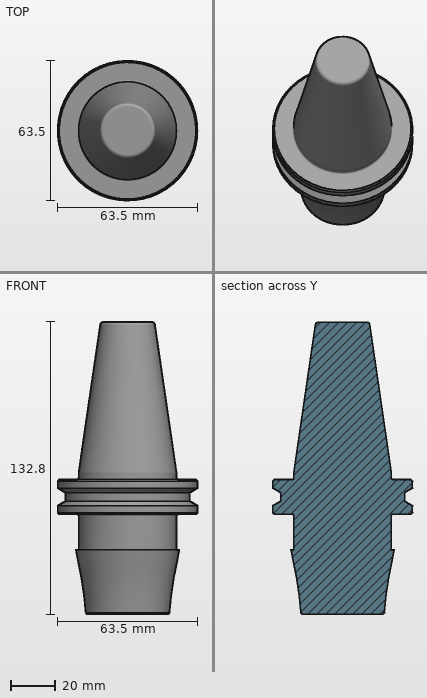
import cadquery as cq
import math


gauge_radius = 44.45 / 2
taper_length = 68.25
taper_ratio = 7 / 24
shank_end_radius = gauge_radius - taper_length * taper_ratio / 2
shank_end_fillet = 1.5

flange_radius = 63.5 / 2
flange_top_z = -3.2
flange_bottom_z = -19.1
flange_chamfer = 0.75
groove_floor_radius = 28.25
groove_floor_width = 3.8
groove_centre_z = -11.15
groove_wall_angle = 60
corner_radius = 0.75

body_radius = gauge_radius
nose_top_z = -35.2
nose_top_radius = 23.5
nose_band_height = 4.8
nose_band_bottom_radius = 22.6
nose_length = 29.3
nose_end_radius = 19.05
nose_end_chamfer = 0.75
nose_hollow = 0.45


def half_profile():
    """Half section of the holder in the XZ plane, from the top down."""
    groove_wall_height = (flange_radius - groove_floor_radius) * math.tan(
        math.radians(groove_wall_angle / 2)
    )
    floor_top_z = groove_centre_z + groove_floor_width / 2
    floor_bottom_z = groove_centre_z - groove_floor_width / 2

    nose_band_bottom_z = nose_top_z - nose_band_height
    nose_bottom_z = nose_top_z - nose_length
    nose_curve_end_z = nose_bottom_z + nose_end_chamfer
    nose_curve_middle = (
        (nose_band_bottom_radius + nose_end_radius) / 2 - nose_hollow,
        (nose_band_bottom_z + nose_curve_end_z) / 2,
    )

    corner_middle = corner_radius * (1 - math.sqrt(0.5))

    return (
        cq.Workplane("XZ")
        .moveTo(0, taper_length)
        .lineTo(shank_end_radius, taper_length)
        .lineTo(gauge_radius, 0)
        .lineTo(gauge_radius, flange_top_z + corner_radius)
        .threePointArc(
            (gauge_radius + corner_middle, flange_top_z + corner_middle),
            (gauge_radius + corner_radius, flange_top_z),
        )
        .lineTo(flange_radius - flange_chamfer, flange_top_z)
        .lineTo(flange_radius, flange_top_z - flange_chamfer)
        .lineTo(flange_radius, floor_top_z + groove_wall_height)
        .lineTo(groove_floor_radius, floor_top_z)
        .lineTo(groove_floor_radius, floor_bottom_z)
        .lineTo(flange_radius, floor_bottom_z - groove_wall_height)
        .lineTo(flange_radius, flange_bottom_z + flange_chamfer)
        .lineTo(flange_radius - flange_chamfer, flange_bottom_z)
        .lineTo(body_radius + corner_radius, flange_bottom_z)
        .threePointArc(
            (body_radius + corner_middle, flange_bottom_z - corner_middle),
            (body_radius, flange_bottom_z - corner_radius),
        )
        .lineTo(body_radius, nose_top_z)
        .lineTo(nose_top_radius, nose_top_z)
        .lineTo(nose_band_bottom_radius, nose_band_bottom_z)
        .threePointArc(nose_curve_middle, (nose_end_radius, nose_curve_end_z))
        .lineTo(nose_end_radius - nose_end_chamfer, nose_bottom_z)
        .lineTo(0, nose_bottom_z)
        .close()
    )


holder = half_profile().revolve(360, (0, 0, 0), (0, 1, 0))
result = holder.faces(">Z").edges().fillet(shank_end_fillet)